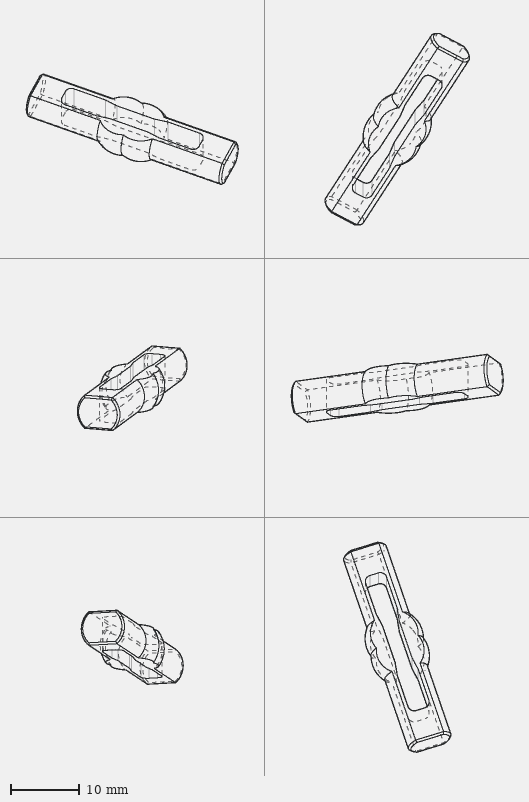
import cadquery as cq

length = 31.25
height = 5.0
bar_diameter = 6.6
end_chamfer = 0.3

lobe_diameter = 8.6
lobe_offset = 1.4

slot_half_length = 10.97
slot_half_width = 1.6
slot_corner_radius = 0.95
waist_half_length = 3.0
waist_half_width = 1.28
taper_length = 2.0


def make_flattened_bar():
    """Round bar along X with flat top and bottom and chamfered ends."""
    round_bar = cq.Workplane("YZ").circle(bar_diameter / 2).extrude(length / 2, both=True)
    slab = cq.Workplane("XY").box(length, bar_diameter, height)
    return round_bar.intersect(slab).faces("<X or >X").chamfer(end_chamfer)


def make_lobes():
    """Two overlapping spheres cut flush with the bar's flats."""
    spheres = (
        cq.Workplane("XY")
        .pushPoints([(-lobe_offset, 0), (lobe_offset, 0)])
        .sphere(lobe_diameter / 2)
    )
    slab = cq.Workplane("XY").box(length, lobe_diameter, height)
    return spheres.intersect(slab)


def make_slot():
    """Slot cutter: wide rounded ends tapering to a straight, narrower waist."""
    taper_end = waist_half_length + taper_length
    upper_side = [
        (-slot_half_length, slot_half_width),
        (-taper_end, slot_half_width),
        (-waist_half_length, waist_half_width),
        (waist_half_length, waist_half_width),
        (taper_end, slot_half_width),
        (slot_half_length, slot_half_width),
    ]
    lower_side = [(x, -y) for x, y in reversed(upper_side)]
    outline = cq.Workplane("XY").polyline(upper_side + lower_side).close()
    cutter = outline.extrude(height / 2, both=True)
    end_corners = cutter.faces("<X or >X").edges("|Z")
    return end_corners.fillet(slot_corner_radius)


result = make_flattened_bar().union(make_lobes()).cut(make_slot())